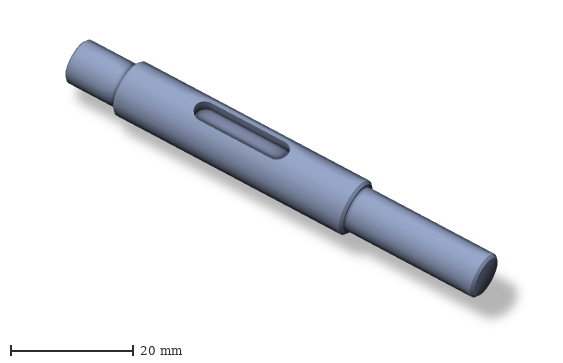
import cadquery as cq

total_length = 79.8
left_length = 10.0
body_length = 44.8
body_diameter = 10.0
journal_diameter = 8.0
edge_chamfer = 0.5

key_length = 18.0
key_width = 4.0
key_depth = 2.5
key_start = 23.15

right_length = total_length - left_length - body_length


def chamfered_cylinder(start, length, diameter, chamfered_ends):
    """Cylinder along +X from start, chamfered on the selected end faces."""
    cylinder = cq.Workplane("YZ", origin=(start, 0, 0)).circle(diameter / 2).extrude(length)
    return cylinder.faces(chamfered_ends).chamfer(edge_chamfer)


def keyway_cutter():
    """Round-ended slot reaching from the keyway floor to the top of the body."""
    floor_height = body_diameter / 2 - key_depth
    center = key_start + key_length / 2
    return (
        cq.Workplane("XY", origin=(center, 0, floor_height))
        .slot2D(key_length, key_width)
        .extrude(key_depth)
    )


body_start = left_length
body_end = left_length + body_length

left_journal = chamfered_cylinder(0, left_length, journal_diameter, "<X")
body = chamfered_cylinder(body_start, body_length, body_diameter, "<X or >X")
right_journal = chamfered_cylinder(body_end, right_length, journal_diameter, ">X")

shaft = left_journal.union(body).union(right_journal)
shaft = shaft.cut(keyway_cutter())
result = shaft.translate((-total_length / 2, 0, 0))